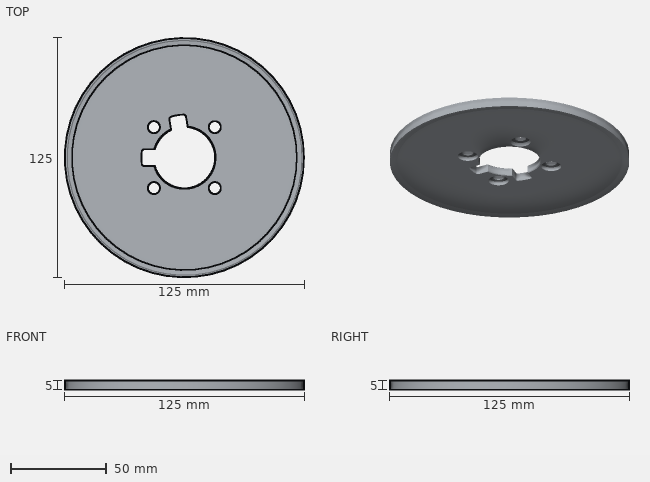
import cadquery as cq

outer_diameter = 125.0
rim_thickness = 5.0
crease_diameter = 122.59
crease_recess = 0.07

disc_diameter = 117.4
disc_recess = 0.34
disc_thickness = rim_thickness - 2 * disc_recess

bore_diameter = 32.0
bore_chamfer = 0.35
keyway_reach = 22.4
keyway_width = 8.7
keyway_corner_radius = 1.2
keyway_angles = (99.6, 180.0)

bolt_hole_diameter = 6.17
bolt_spacing = 31.8
counterbore_diameter = 10.5
counterbore_depth = 2.1


def disc_cylinder(diameter, height=disc_thickness):
    """Cylinder on the Z axis, standing on the lower face of the disc."""
    return cq.Workplane("XY").workplane(offset=disc_recess).circle(diameter / 2).extrude(height)


def keyway_cutter(angle):
    """Radial slot from the axis, with a curved end concentric with the bore."""
    slot = (
        cq.Workplane("XY")
        .workplane(offset=disc_recess)
        .center(keyway_reach / 2, 0)
        .rect(keyway_reach, keyway_width)
        .extrude(disc_thickness)
    )
    slot = slot.intersect(disc_cylinder(2 * keyway_reach))
    slot = slot.edges("|Z").edges(">X").fillet(keyway_corner_radius)
    return slot.rotate((0, 0, 0), (0, 0, 1), angle)


def bolt_hole_cutter(x, y):
    """Through hole joined to the counterbore in the lower face."""
    hole = disc_cylinder(bolt_hole_diameter)
    counterbore = disc_cylinder(counterbore_diameter, counterbore_depth)
    return hole.union(counterbore).translate((x, y, 0))


def make_disc():
    disc = disc_cylinder(disc_diameter).cut(disc_cylinder(bore_diameter))
    bore_edges = cq.selectors.RadiusNthSelector(0)
    disc = disc.edges(bore_edges).chamfer(bore_chamfer)
    for angle in keyway_angles:
        disc = disc.cut(keyway_cutter(angle))
    for x_side in (-1, 1):
        for y_side in (-1, 1):
            x = x_side * bolt_spacing / 2
            y = y_side * bolt_spacing / 2
            disc = disc.cut(bolt_hole_cutter(x, y))
    return disc


def make_rim():
    inner_radius = disc_diameter / 2
    crease_radius = crease_diameter / 2
    outer_radius = outer_diameter / 2
    section = [
        (inner_radius, disc_recess),
        (crease_radius, crease_recess),
        (outer_radius, 0),
        (outer_radius, rim_thickness),
        (crease_radius, rim_thickness - crease_recess),
        (inner_radius, rim_thickness - disc_recess),
    ]
    return cq.Workplane("XZ").polyline(section).close().revolve(360, (0, 0, 0), (0, 1, 0))


disc = make_disc()
rim = make_rim()

result = cq.Compound.makeCompound([disc.solids().val(), rim.val()])